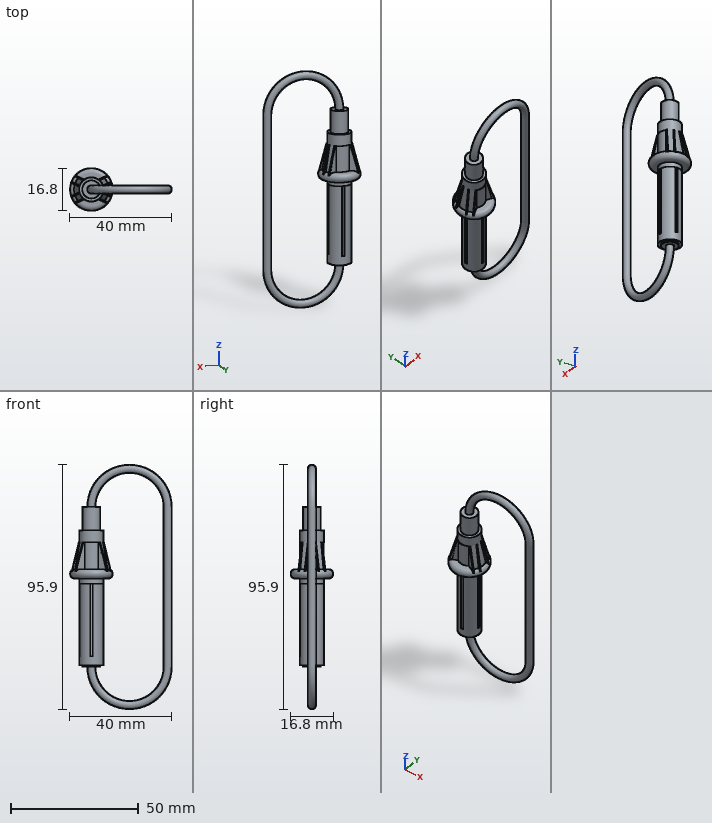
import cadquery as cq
import math

total_height = 95.9
cable_radius = 1.6
bend_radius = 15.0
cable_bottom = bend_radius + cable_radius
cable_top = total_height - cable_bottom
loop_width = 2 * bend_radius

barrel_bottom = 17.2
groove_bottom = 20.8
joint_level = 49.2
flange_bottom = 51.2
flange_top = 54.95
collar_bottom = 65.5
collar_top = 70.1

body_radius = 4.8
core_radius = 4.7
end_radius = 3.55
flange_radius = 8.39
flange_round = (flange_top - flange_bottom) / 2

groove_count = 4
groove_width = 1.1
groove_depth = 0.3

wing_foot_radius = 7.2
wing_angle = 25.0
wing_edge_x = 2.7
wing_edge_y = math.sqrt(core_radius**2 - wing_edge_x**2)

rib_width = 0.5
rib_spacing = 2.9
rib_top_radius = 5.1
rib_foot_radius = 8.2
rib_foot_level = 53.5


def cylinder(radius, bottom, top):
    return cq.Workplane("XY").workplane(offset=bottom).circle(radius).extrude(top - bottom)


def cone(foot_radius, foot_level, top_radius):
    """Cone frustum narrowing upward to the underside of the collar."""
    profile = [(0, foot_level), (foot_radius, foot_level), (top_radius, collar_bottom), (0, collar_bottom)]
    return cq.Workplane("XZ").polyline(profile).close().revolve(360, (0, 0, 0), (0, 1, 0))


def wing_sector(x_side):
    """Prism enclosing one wing, bounded by its two slanted side faces."""
    far_x = 2 * flange_radius
    far_y = wing_edge_y + (far_x - wing_edge_x) * math.tan(math.radians(wing_angle))
    corners = [(wing_edge_x, wing_edge_y), (far_x, far_y), (far_x, -far_y), (wing_edge_x, -wing_edge_y)]
    outline = [(x_side * x, y) for x, y in corners]
    return cq.Workplane("XY").polyline(outline).close().extrude(total_height)


def rib_slab(x_side, y_side, outer_offset):
    """Slab one rib thick, parallel to a wing side face and set outer_offset inward from it."""
    length = 2 * flange_radius
    block = cq.Workplane("XY").box(length, rib_width, total_height, centered=(False, False, False))
    block = block.translate((0, -outer_offset - rib_width, 0))
    block = block.rotate((0, 0, 0), (0, 0, 1), wing_angle).translate((wing_edge_x, wing_edge_y, 0))
    if x_side < 0:
        block = block.mirror("YZ")
    if y_side < 0:
        block = block.mirror("XZ")
    return block


def make_holder():
    holder = cylinder(body_radius, joint_level, flange_bottom + flange_round)
    holder = holder.union(cylinder(core_radius, joint_level, collar_top))
    holder = holder.union(cylinder(body_radius, collar_bottom, collar_top))
    holder = holder.union(cylinder(end_radius, collar_top, cable_top))
    flange = cylinder(flange_radius - flange_round, flange_bottom, flange_top)
    rim = (
        cq.Workplane("XZ")
        .center(flange_radius - flange_round, flange_bottom + flange_round)
        .circle(flange_round)
        .revolve(360, (flange_round - flange_radius, 0, 0), (flange_round - flange_radius, 1, 0))
    )
    holder = holder.union(flange).union(rim)

    wing_cone = cone(wing_foot_radius, flange_bottom + flange_round, body_radius)
    rib_cone = cone(rib_foot_radius, rib_foot_level, rib_top_radius)
    for x_side in (-1, 1):
        holder = holder.union(wing_cone.intersect(wing_sector(x_side)))
        for y_side in (-1, 1):
            for outer_offset in (0, rib_spacing):
                rib = rib_cone.intersect(rib_slab(x_side, y_side, outer_offset))
                holder = holder.union(rib)
    return holder


def make_barrel():
    barrel = cylinder(body_radius, barrel_bottom, joint_level)
    groove = cq.Workplane("XY").box(
        groove_depth * 2, groove_width, joint_level - groove_bottom, centered=(True, True, False)
    ).translate((body_radius, 0, groove_bottom))
    for index in range(groove_count):
        barrel = barrel.cut(groove.rotate((0, 0, 0), (0, 0, 1), index * 360 / groove_count))
    return barrel.union(cylinder(end_radius, cable_bottom, barrel_bottom))


def make_cable():
    path = (
        cq.Workplane("XZ")
        .moveTo(0, cable_top)
        .threePointArc((bend_radius, cable_top + bend_radius), (loop_width, cable_top))
        .lineTo(loop_width, cable_bottom)
        .threePointArc((bend_radius, cable_bottom - bend_radius), (0, cable_bottom))
    )
    return cq.Workplane("XY").workplane(offset=cable_top).circle(cable_radius).sweep(path)


holder = make_holder()
barrel = make_barrel()
cable = make_cable()
result = cq.Compound.makeCompound([holder.val(), barrel.val(), cable.val()])